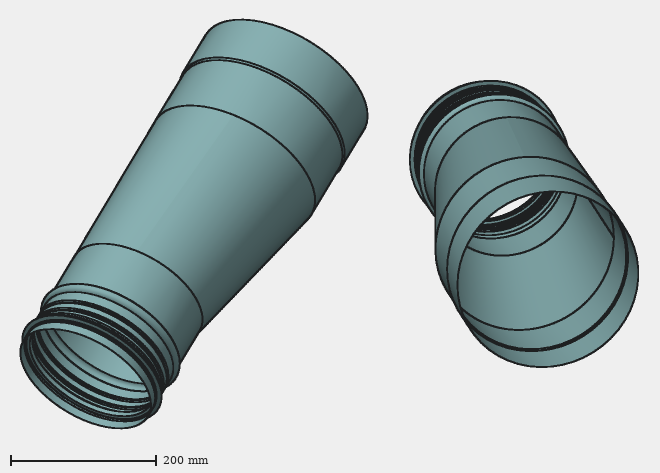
import cadquery as cq

LENGTH = 570.5
WALL = 0.45

SPIGOT_DIA = 201.5
DUCT_DIA = 251.5
SOCKET_DIA = 255.0

SPIGOT_END_Y = 161.0
DUCT_START_Y = 410.0
SOCKET_NECK_Y = 495.5
SOCKET_DEPTH = 71.5

DUCT_AXIS_X = (DUCT_DIA - SPIGOT_DIA) / 2

SLIT_WIDTH = 0.5

BEAD_DIA = 212.0
BEAD_CENTRE_Y = 77.0
BEAD_HALF_WIDTH = 7.5

GROOVE_DIA = 197.0
GROOVE_WIDTH = 5.0
GROOVE_FLANK_RUN = 1.5
GROOVE_CENTRES_Y = (37.5, 52.0)

SEAT_DIA = 190.0
SEAT_SHOULDER_DIA = 199.0
SEAT_START_Y = 13.0
SEAT_END_Y = 30.0
SEAT_SHOULDER_RUN = 3.5
SEAT_STEEP_RUN = 1.0

SEAL_DIA = SPIGOT_DIA
LIP_DIA = 214.5
LIP_BACK_Y = 20.0
LIP_ROOT_WIDTH = 2.0
LIP_TIP_WIDTH = 0.5


def revolve_about_y(profile):
    return profile.close().revolve(360, (0, 0, 0), (0, 1, 0))


def seat_points(inset):
    """(radius, y) corners of the seat between its shoulders, moved inwards by inset."""
    shoulder_radius = SEAT_SHOULDER_DIA / 2 - inset
    floor_radius = SEAT_DIA / 2 - inset
    first_shoulder_y = SEAT_START_Y + SEAT_SHOULDER_RUN
    last_shoulder_y = SEAT_END_Y - SEAT_SHOULDER_RUN
    return [
        (shoulder_radius, first_shoulder_y),
        (floor_radius, first_shoulder_y + SEAT_STEEP_RUN),
        (floor_radius, last_shoulder_y - SEAT_STEEP_RUN),
        (shoulder_radius, last_shoulder_y),
    ]


def spigot_envelope(inset):
    """Solid of revolution bounded by the spigot surface moved inwards by inset."""
    radius = SPIGOT_DIA / 2 - inset
    groove_radius = GROOVE_DIA / 2 - inset
    bead_radius = BEAD_DIA / 2 - inset
    bead_half_width = BEAD_HALF_WIDTH - inset
    profile = cq.Workplane("XY").moveTo(0, 0).lineTo(radius, 0).lineTo(radius, SEAT_START_Y)
    for seat_radius, y in seat_points(inset):
        profile = profile.lineTo(seat_radius, y)
    profile = profile.lineTo(radius, SEAT_END_Y)
    for centre_y in GROOVE_CENTRES_Y:
        start_y = centre_y - GROOVE_WIDTH / 2
        end_y = centre_y + GROOVE_WIDTH / 2
        profile = (
            profile.lineTo(radius, start_y)
            .lineTo(groove_radius, start_y + GROOVE_FLANK_RUN)
            .lineTo(groove_radius, end_y - GROOVE_FLANK_RUN)
            .lineTo(radius, end_y)
        )
    profile = (
        profile.lineTo(radius, BEAD_CENTRE_Y - bead_half_width)
        .threePointArc((bead_radius, BEAD_CENTRE_Y), (radius, BEAD_CENTRE_Y + bead_half_width))
        .lineTo(radius, SPIGOT_END_Y)
        .lineTo(0, SPIGOT_END_Y)
    )
    return revolve_about_y(profile)


def make_spigot():
    return spigot_envelope(0).cut(spigot_envelope(WALL))


def make_seal():
    band_radius = SEAL_DIA / 2
    lip_radius = LIP_DIA / 2
    band_start_y = SEAT_START_Y + SEAT_SHOULDER_RUN
    band_end_y = SEAT_END_Y - SEAT_SHOULDER_RUN
    profile = (
        cq.Workplane("XY")
        .polyline(seat_points(0))
        .lineTo(band_radius, band_end_y)
        .lineTo(band_radius, LIP_BACK_Y)
        .lineTo(lip_radius, LIP_BACK_Y)
        .lineTo(lip_radius, LIP_BACK_Y - LIP_TIP_WIDTH)
        .lineTo(band_radius, LIP_BACK_Y - LIP_ROOT_WIDTH)
        .lineTo(band_radius, band_start_y)
    )
    return revolve_about_y(profile)


def section_circle(diameter, axis_x, y):
    """Circle across the duct, starting at its +Z point."""
    centre = cq.Vector(axis_x, y, 0)
    edge = cq.Edge.makeCircle(diameter / 2, centre, cq.Vector(0, 1, 0))
    return cq.Wire.assembleEdges([edge])


def transition_envelope(inset):
    small_end = section_circle(SPIGOT_DIA - 2 * inset, 0, SPIGOT_END_Y)
    large_end = section_circle(DUCT_DIA - 2 * inset, DUCT_AXIS_X, DUCT_START_Y)
    return cq.Workplane(cq.Solid.makeLoft([small_end, large_end], True))


def make_transition():
    shell = transition_envelope(0).cut(transition_envelope(WALL))
    slit_centre_x = -SPIGOT_DIA / 2
    slit = cq.Workplane("XY").center(slit_centre_x, LENGTH / 2).box(SPIGOT_DIA / 2, LENGTH, SLIT_WIDTH)
    return shell.cut(slit)


def make_duct():
    duct = cq.Workplane("XZ", origin=(DUCT_AXIS_X, DUCT_START_Y, 0))
    return duct.circle(DUCT_DIA / 2).circle(DUCT_DIA / 2 - WALL).extrude(DUCT_START_Y - SOCKET_NECK_Y)


def make_socket():
    """Wider end collar that narrows through a short cone onto the large duct."""
    neck_radius = DUCT_DIA / 2
    socket_radius = SOCKET_DIA / 2
    socket_start_y = LENGTH - SOCKET_DEPTH
    profile = (
        cq.Workplane("XY")
        .moveTo(neck_radius - WALL, SOCKET_NECK_Y)
        .lineTo(neck_radius, SOCKET_NECK_Y)
        .lineTo(socket_radius, socket_start_y)
        .lineTo(socket_radius, LENGTH)
        .lineTo(socket_radius - WALL, LENGTH)
        .lineTo(socket_radius - WALL, socket_start_y)
    )
    return revolve_about_y(profile).translate((DUCT_AXIS_X, 0, 0))


spigot = make_spigot()
seal = make_seal()
transition = make_transition()
duct = make_duct()
socket = make_socket()

result = cq.Compound.makeCompound(
    [body.solids().val() for body in (spigot, seal, transition, duct, socket)]
)